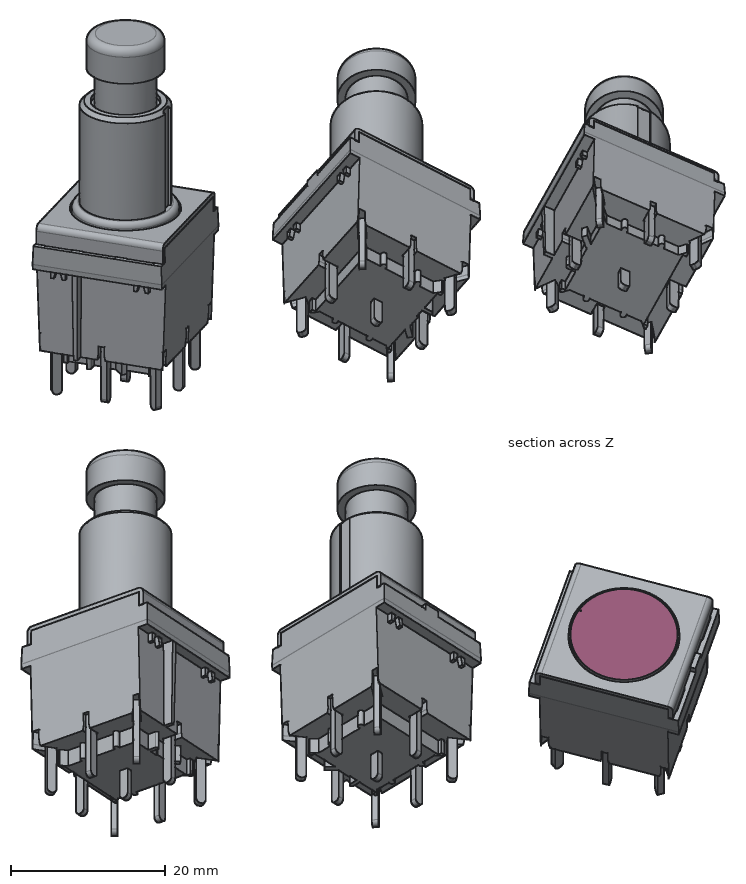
import cadquery as cq
import math

CORE_BOTTOM = 4.2
BODY_BOTTOM = 6.5
LEAD_IN_TOP = 7.2
END_SLOT_TOP = 8.45
SIDE_SLOT_TOP = 8.95
TAB_BOTTOM = 17.35
FLANGE_BOTTOM = 18.6
PARTING_HEIGHT = 19.3
FLANGE_TOP = 21.85
LUG_TOP = 22.75
FRAME_TOP = 24.5
COLLAR_TOP = 25.45
SLEEVE_TOP = 39.7
BUTTON_BOTTOM = 44.35
TOTAL_HEIGHT = 49.3

DRAFT_ANGLE = 2
HALF_WIDTH = 8.95
BODY_HALF_DEPTH = 8.65
FLANGE_HALF_DEPTH = 10.15
LUG_WIDTH = 2.3

FRAME_THICKNESS = 0.65
FRAME_BEND_RADIUS = 0.8
FRAME_HALF_WIDTH = 8.75
FRAME_HALF_DEPTH = BODY_HALF_DEPTH + FRAME_THICKNESS
BODY_TOP = FRAME_TOP - FRAME_THICKNESS
FRAME_HOLE_RADIUS = 7.2
TAB_OFFSET = 5.75
TAB_WIDTH = 2.0
TAB_MOUTH_TOP = 0.55
TAB_MOUTH_BOTTOM = 1.2

GROOVE_WIDTH = 0.1
GROOVE_DEPTH = 0.5
SIDE_GROOVE_OFFSET = 5.7
SIDE_GROOVE_LENGTH = 3.7
FRONT_GROOVE_LENGTH = 4.45

RIB_CENTER = -3.1
RIB_WIDTH_TOP = 0.75
RIB_WIDTH_BOTTOM = 0.5
RIB_HALF_DEPTH_BOTTOM = 9.9

COLLAR_RADIUS = 6.95
COLLAR_FILLET = 0.8
SLEEVE_RADIUS = 5.95
SLEEVE_CHAMFER = 0.6
BORE_RADIUS = 4.55
BORE_DEPTH = 0.6
STEM_RADIUS = 4.05
BUTTON_RADIUS = 5.1
BUTTON_FILLET = 1.15
KEYWAY_WIDTH = 1.85
KEYWAY_FLOOR = 5.55

PIN_WIDTH = 1.3
PIN_THICKNESS = 0.85
PIN_TIP_FILLET = 0.6
CORNER_PIN_POSITION = 6.9
CORNER_PIN_ANGLE = 36
SIDE_PIN_X = 7.45
END_PIN_Y = 7.05
SLOT_LENGTH = 2.95
LEAD_IN_EXTRA = 0.15

CORE_HALF_WIDTH = 6.2
CORE_HALF_DEPTH = 6.2
CORE_SIDE_FLOOR = 5.4
CORE_SIDE_RECESS_HALF = 5.15
CORE_END_FLOOR = 5.65
CORE_END_RECESS_HALF = 5.65
CORE_BOSS_HALF_WIDTH = 0.95
CORE_BOSS_REACH = 5.85
SIDE_WALL_Y = 2.65
SIDE_WALL_THICKNESS = 0.8
SIDE_WALL_REACH = 6.0
END_WALL_X = -2.4
END_WALL_THICKNESS = 0.6
END_WALL_REACH = 7.1
DEFLECTOR_REACH = 1.85
DEFLECTOR_THICKNESS = 0.75


def box(x_min, x_max, y_min, y_max, z_min, z_max):
    """Axis-aligned block between the given limits."""
    block = cq.Workplane("XY").box(x_max - x_min, y_max - y_min, z_max - z_min, centered=False)
    return block.translate((x_min, y_min, z_min))


def cylinder(radius, z_min, z_max):
    """Upright cylinder on the Z axis."""
    return cq.Workplane("XY").workplane(offset=z_min).circle(radius).extrude(z_max - z_min)


def drafted_prism(plane, half_width, length):
    """Prism as tall as the housing, widest at the parting height and drafted both ways."""
    slope = math.tan(math.radians(DRAFT_ANGLE))
    bottom = half_width - slope * (PARTING_HEIGHT - BODY_BOTTOM)
    top = half_width - slope * (BODY_TOP - PARTING_HEIGHT)
    wall = [(bottom, BODY_BOTTOM), (half_width, PARTING_HEIGHT), (top, BODY_TOP)]
    outline = wall + [(-u, z) for u, z in reversed(wall)]
    return cq.Workplane(plane).polyline(outline).close().extrude(length / 2, both=True)


def make_housing():
    """Body with a wide flange, a lug on the +Y rim of the flange and the guide rib."""
    sides = drafted_prism("XZ", HALF_WIDTH, 2 * FLANGE_HALF_DEPTH)
    ends = drafted_prism("YZ", FLANGE_HALF_DEPTH, 2 * HALF_WIDTH)
    rim = sides.intersect(ends)
    width = HALF_WIDTH
    depth = FLANGE_HALF_DEPTH
    body = sides.intersect(box(-width, width, -BODY_HALF_DEPTH, BODY_HALF_DEPTH, BODY_BOTTOM, BODY_TOP))
    flange = rim.intersect(box(-width, width, -depth, depth, FLANGE_BOTTOM, FLANGE_TOP))
    lug_half = LUG_WIDTH / 2
    lug = rim.intersect(box(-lug_half, lug_half, FRAME_HALF_DEPTH, depth, FLANGE_TOP, LUG_TOP))
    return body.union(flange).union(lug).union(make_rib())


def make_rib():
    """Tapered rib running from the flange to the bottom of the -Y wall."""
    top_depth = FLANGE_HALF_DEPTH - BODY_HALF_DEPTH
    bottom_depth = RIB_HALF_DEPTH_BOTTOM - BODY_HALF_DEPTH
    return (
        cq.Workplane("XY", origin=(RIB_CENTER, -BODY_HALF_DEPTH - bottom_depth / 2, BODY_BOTTOM))
        .rect(RIB_WIDTH_BOTTOM, bottom_depth)
        .workplane(offset=FLANGE_BOTTOM - BODY_BOTTOM)
        .center(0, (bottom_depth - top_depth) / 2)
        .rect(RIB_WIDTH_TOP, top_depth)
        .loft()
    )


def make_flange_grooves():
    """Narrow grooves along the outer faces of the frame legs."""
    grooves = cq.Workplane("XY")
    spots = [(side * SIDE_GROOVE_OFFSET, end, SIDE_GROOVE_LENGTH) for side in (-1, 1) for end in (-1, 1)]
    spots.append((0, -1, FRONT_GROOVE_LENGTH))
    for x, end, length in spots:
        y_limits = sorted((end * FRAME_HALF_DEPTH, end * (FRAME_HALF_DEPTH + GROOVE_WIDTH)))
        groove = box(x - length / 2, x + length / 2, *y_limits, FLANGE_TOP - GROOVE_DEPTH, FLANGE_TOP)
        grooves = grooves.add(groove)
    return grooves.combine()


def make_frame():
    """U-shaped cover with a round hole, and a pair of forked tabs below each leg."""
    width = FRAME_HALF_WIDTH
    cover = box(-width, width, -FRAME_HALF_DEPTH, FRAME_HALF_DEPTH, FLANGE_TOP, FRAME_TOP)
    cover = cover.edges("|X and >Z").fillet(FRAME_BEND_RADIUS)
    inside = box(-width, width, -BODY_HALF_DEPTH, BODY_HALF_DEPTH, FLANGE_TOP, BODY_TOP)
    frame = cover.cut(inside).cut(cylinder(FRAME_HOLE_RADIUS, BODY_TOP, FRAME_TOP))
    for end_y in (-BODY_HALF_DEPTH, FRAME_HALF_DEPTH):
        for x in (-TAB_OFFSET, TAB_OFFSET):
            frame = frame.union(make_tab().translate((x, end_y, 0)))
    return frame


def make_tab():
    """Forked tab centred on X, reaching one frame thickness toward -Y."""
    half = TAB_WIDTH / 2
    outline = [
        (-half, FLANGE_BOTTOM),
        (-half, TAB_BOTTOM),
        (-TAB_MOUTH_BOTTOM / 2, TAB_BOTTOM),
        (-TAB_MOUTH_TOP / 2, FLANGE_BOTTOM),
    ]
    prong = cq.Workplane("XZ").polyline(outline).close().extrude(FRAME_THICKNESS)
    return prong.union(prong.mirror("YZ"))


def make_bushing():
    """Collar and sleeve with a keyway on the +X side and a bore for the stem."""
    collar = cylinder(COLLAR_RADIUS, BODY_TOP, COLLAR_TOP).faces(">Z").edges().fillet(COLLAR_FILLET)
    sleeve = cylinder(SLEEVE_RADIUS, COLLAR_TOP, SLEEVE_TOP).faces(">Z").edges().chamfer(SLEEVE_CHAMFER)
    half = KEYWAY_WIDTH / 2
    keyway = box(KEYWAY_FLOOR, SLEEVE_RADIUS, -half, half, COLLAR_TOP, SLEEVE_TOP)
    bore = cylinder(BORE_RADIUS, SLEEVE_TOP - BORE_DEPTH, SLEEVE_TOP)
    return collar.union(sleeve.cut(keyway).cut(bore))


def make_button():
    """Round push cap on a thinner stem."""
    stem = cylinder(STEM_RADIUS, SLEEVE_TOP - BORE_DEPTH, BUTTON_BOTTOM)
    cap = cylinder(BUTTON_RADIUS, BUTTON_BOTTOM, TOTAL_HEIGHT).faces(">Z").edges().fillet(BUTTON_FILLET)
    return stem.union(cap)


def slotted_pin_places():
    """X, Y, outward blade direction in degrees and top height of each pin along the walls."""
    places = [
        (SIDE_PIN_X, 0, 0, SIDE_SLOT_TOP),
        (-SIDE_PIN_X, 0, 180, SIDE_SLOT_TOP),
        (0, END_PIN_Y, 90, END_SLOT_TOP),
        (0, -END_PIN_Y, 270, END_SLOT_TOP),
    ]
    corner_directions = [
        (1, 1, CORNER_PIN_ANGLE),
        (-1, 1, 180 - CORNER_PIN_ANGLE),
        (-1, -1, 180 + CORNER_PIN_ANGLE),
        (1, -1, -CORNER_PIN_ANGLE),
    ]
    for side_x, side_y, angle in corner_directions:
        places.append((side_x * CORNER_PIN_POSITION, side_y * CORNER_PIN_POSITION, angle, SIDE_SLOT_TOP))
    return places


def make_pin(top):
    """Flat pin on the Z axis, its width along X, with a rounded tip."""
    pin = cq.Workplane("XY").box(PIN_WIDTH, PIN_THICKNESS, top, centered=(True, True, False))
    return pin.edges("|Y and <Z").fillet(PIN_TIP_FILLET)


def make_slot(top):
    """Slot opening toward +X from the inner edge of a pin, flared at the bottom."""
    half = PIN_THICKNESS / 2
    mouth_half = half + LEAD_IN_EXTRA
    side = [(mouth_half, BODY_BOTTOM), (half, LEAD_IN_TOP), (half, top)]
    outline = side + [(-y, z) for y, z in reversed(side)]
    slot = cq.Workplane("YZ").polyline(outline).close().extrude(SLOT_LENGTH)
    return slot.translate((-PIN_WIDTH / 2, 0, 0))


def place(shape, x, y, angle):
    """Turn a shape about the Z axis, then move it in plan."""
    return shape.rotate((0, 0, 0), (0, 0, 1), angle).translate((x, y, 0))


def core_prism(outline):
    """Closed outline in plan, raised over the height of the core."""
    base = cq.Workplane("XY").workplane(offset=CORE_BOTTOM)
    return base.polyline(outline).close().extrude(BODY_BOTTOM - CORE_BOTTOM)


def core_box(x_min, x_max, y_min, y_max):
    """Block over the height of the core."""
    return box(x_min, x_max, y_min, y_max, CORE_BOTTOM, BODY_BOTTOM)


def make_core_body():
    """Block with flared recesses on the X sides and square ones on the Y ends."""
    width = CORE_HALF_WIDTH
    depth = CORE_HALF_DEPTH
    body = core_box(-width, width, -depth, depth)
    half = CORE_SIDE_RECESS_HALF
    flared_half = half + width - CORE_SIDE_FLOOR
    side_recess = core_prism(
        [(width, -flared_half), (width, flared_half), (CORE_SIDE_FLOOR, half), (CORE_SIDE_FLOOR, -half)]
    )
    end_recess = core_box(-CORE_END_RECESS_HALF, CORE_END_RECESS_HALF, -depth, -CORE_END_FLOOR)
    for recess, mirror_plane in ((side_recess, "YZ"), (end_recess, "XZ")):
        body = body.cut(recess).cut(recess.mirror(mirror_plane))
    return body


def make_core_walls():
    """Round-ended walls: two across the core in X and one reaching toward -Y."""
    base = cq.Workplane("XY").workplane(offset=CORE_BOTTOM)
    height = BODY_BOTTOM - CORE_BOTTOM
    side_walls = (
        base.pushPoints([(0, -SIDE_WALL_Y), (0, SIDE_WALL_Y)])
        .slot2D(2 * SIDE_WALL_REACH, SIDE_WALL_THICKNESS)
        .extrude(height)
    )
    end_wall = (
        base.center(END_WALL_X, -END_WALL_REACH / 2)
        .slot2D(END_WALL_REACH, END_WALL_THICKNESS, 90)
        .extrude(height)
    )
    return side_walls.union(end_wall)


def make_core():
    """Core body with its boss, walls and diagonal deflector."""
    half = CORE_BOSS_HALF_WIDTH
    boss = core_box(-half, half, -CORE_BOSS_REACH, 0)
    deflector = core_box(-DEFLECTOR_REACH, DEFLECTOR_REACH, 0, DEFLECTOR_THICKNESS)
    deflector = place(deflector, half, -CORE_BOSS_REACH, -45)
    return make_core_body().union(boss).union(deflector).union(make_core_walls())


result = make_housing()
for *position, slot_top in slotted_pin_places():
    result = result.cut(place(make_slot(slot_top), *position))
result = result.cut(make_flange_grooves()).union(make_frame()).union(make_bushing()).union(make_button())
result = result.union(make_core())
for *position, pin_top in slotted_pin_places():
    result = result.union(place(make_pin(pin_top), *position))
center_pin = place(make_pin(BODY_BOTTOM), 0, 0, 90)
result = result.union(center_pin)